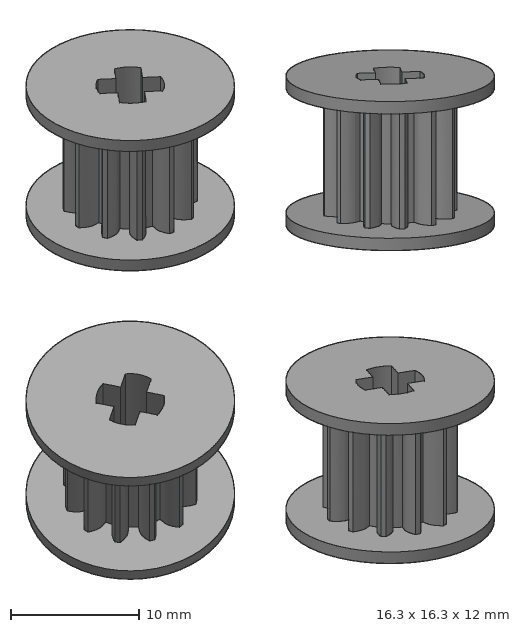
import cadquery as cq
import math

flange_diameter = 16.25
total_height = 12.0
gear_height = 10.0
flange_thickness = (total_height - gear_height) / 2

tooth_count = 12
tip_radius = 5.25
root_radius = 3.59
pressure_angle = math.radians(22)
first_tooth_angle = math.radians(45)
module = 2 * tip_radius / (tooth_count + 2)
pitch_radius = module * tooth_count / 2
base_radius = pitch_radius * math.cos(pressure_angle)
tooth_pitch_angle = 2 * math.pi / tooth_count
root_half_angle = math.radians(9)
flank_steps = 6

axle_radius = 2.66
axle_arm_width = 2.08
axle_arm_angle = 41.5


def polar(radius, angle):
    return (radius * math.cos(angle), radius * math.sin(angle))


def tooth_half_angle(radius):
    """Angle from the tooth's centre line to its involute flank."""
    contact_angle = math.acos(base_radius / radius)
    involute = math.tan(contact_angle) - contact_angle
    pitch_involute = math.tan(pressure_angle) - pressure_angle
    return tooth_pitch_angle / 4 + pitch_involute - involute


def flank_points(centre_angle, side):
    """Points up one flank, from the base circle to the tip; side is -1 or 1."""
    points = []
    for step in range(flank_steps + 1):
        radius = base_radius + (tip_radius - base_radius) * step / flank_steps
        points.append(polar(radius, centre_angle + side * tooth_half_angle(radius)))
    return points


def make_gear():
    outline = cq.Workplane("XY").workplane(offset=flange_thickness)
    outline = outline.moveTo(*polar(root_radius, first_tooth_angle - root_half_angle))
    for tooth in range(tooth_count):
        centre = first_tooth_angle + tooth * tooth_pitch_angle
        rising = flank_points(centre, -1)
        falling = flank_points(centre, 1)[::-1]
        outline = outline.lineTo(*rising[0]).spline(rising[1:], includeCurrent=True)
        outline = outline.threePointArc(polar(tip_radius, centre), falling[0])
        outline = outline.spline(falling[1:], includeCurrent=True)
        outline = outline.lineTo(*polar(root_radius, centre + root_half_angle))
        gap_middle = centre + tooth_pitch_angle / 2
        next_root = centre + tooth_pitch_angle - root_half_angle
        outline = outline.threePointArc(polar(root_radius, gap_middle), polar(root_radius, next_root))
    return outline.close().extrude(gear_height)


def make_flange(bottom):
    return cq.Workplane("XY").workplane(offset=bottom).circle(flange_diameter / 2).extrude(flange_thickness)


def make_axle_hole():
    arm_length = 2 * axle_radius
    base = cq.Workplane("XY")
    cross = base.rect(arm_length, axle_arm_width).extrude(total_height)
    cross = cross.union(base.rect(axle_arm_width, arm_length).extrude(total_height))
    cross = cross.intersect(base.circle(axle_radius).extrude(total_height))
    return cross.rotate((0, 0, 0), (0, 0, 1), axle_arm_angle)


result = make_gear().union(make_flange(0)).union(make_flange(flange_thickness + gear_height))
result = result.cut(make_axle_hole())